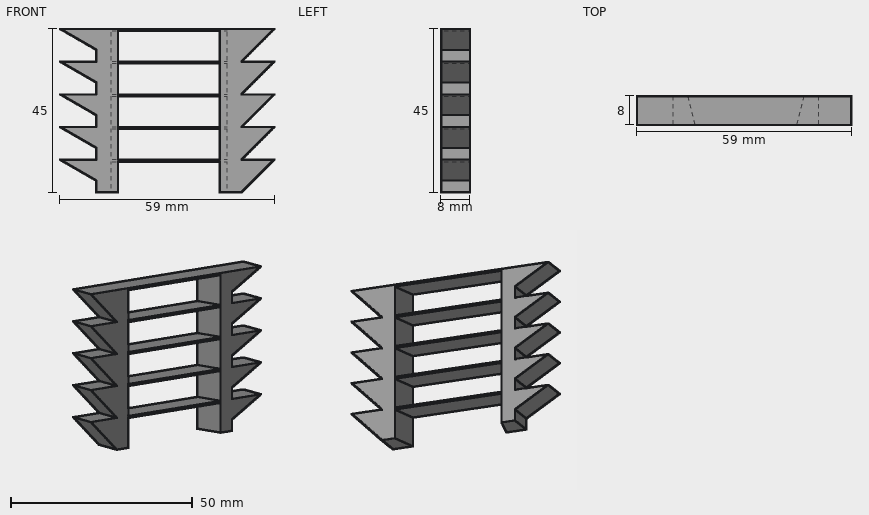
import cadquery as cq
import math

width = 59.0
depth = 8.0
height = 45.0
levels = 5
post_width = 6.0
clear_span = 27.95
bar_thickness = 0.6
left_tooth_angle = 30.0
post_flare = 2.0

pitch = height / levels
right_reach = pitch
left_reach = width - right_reach - clear_span - 2 * post_width
left_drop = left_reach * math.tan(math.radians(left_tooth_angle))

left_post_x = left_reach
span_left_x = left_post_x + post_width
span_right_x = span_left_x + clear_span
right_root_x = span_right_x + post_width


def toothed_level(bottom):
    """One solid storey with a tooth on each side, through the full depth."""
    top = bottom + pitch
    outline = [
        (0, top),
        (width, top),
        (right_root_x, bottom),
        (left_post_x, bottom),
        (left_post_x, top - left_drop),
    ]
    return cq.Workplane("XZ").polyline(outline).close().extrude(-depth)


def opening(bottom):
    """Window between the posts, widening toward the back, below the level's bar."""
    outline = [
        (span_left_x, 0),
        (span_right_x, 0),
        (span_right_x + post_flare, depth),
        (span_left_x - post_flare, depth),
    ]
    floor = cq.Workplane("XY").workplane(offset=bottom)
    return floor.polyline(outline).close().extrude(pitch - bar_thickness)


level_bottoms = [index * pitch for index in range(levels)]

result = toothed_level(level_bottoms[0])
for bottom in level_bottoms[1:]:
    result = result.union(toothed_level(bottom))
for bottom in level_bottoms:
    result = result.cut(opening(bottom))
result = result.clean()